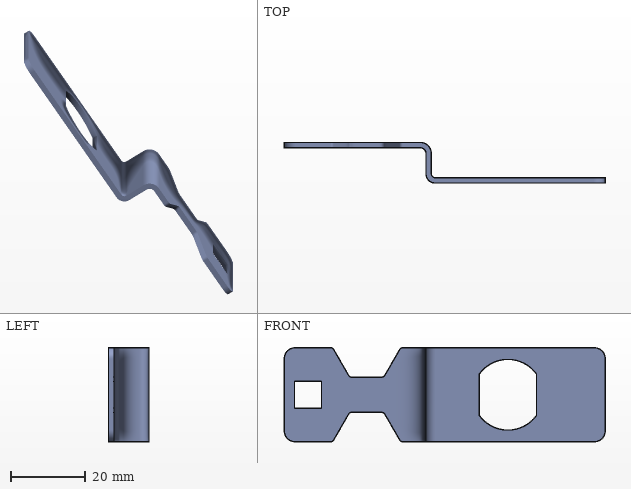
import cadquery as cq
import math

length = 86.57
offset_depth = 11.0
width = 25.4
thickness = 1.5
corner_radius = 3.0

web_start = 38.2
web_end = web_start + thickness
rear_inner_radius = 1.5
rear_outer_radius = rear_inner_radius + thickness
front_inner_radius = 1.0
front_outer_radius = front_inner_radius + thickness

neck_center = 22.25
neck_length = 9.15
neck_width = 9.5
notch_corner_radius = 1.0
notch_wall_angle = 60.0
notch_depth = (width - neck_width) / 2
notch_run = notch_depth / math.tan(math.radians(notch_wall_angle))

square_side = 7.2
square_center = 6.4

hole_diameter = 19.0
hole_flat_width = 15.4
hole_center = 60.3


def bent_strip():
    """Constant-thickness Z-bent strip, extruded over the full width."""
    front_inner_y = thickness
    rear_inner_y = offset_depth - thickness
    outline = (
        cq.Workplane("XY", origin=(0, 0, -width / 2))
        .moveTo(0, offset_depth)
        .lineTo(web_end - rear_outer_radius, offset_depth)
        .radiusArc((web_end, offset_depth - rear_outer_radius), rear_outer_radius)
        .lineTo(web_end, front_inner_y + front_inner_radius)
        .radiusArc((web_end + front_inner_radius, front_inner_y), -front_inner_radius)
        .lineTo(length, front_inner_y)
        .lineTo(length, 0)
        .lineTo(web_start + front_outer_radius, 0)
        .radiusArc((web_start, front_outer_radius), front_outer_radius)
        .lineTo(web_start, rear_inner_y - rear_inner_radius)
        .radiusArc((web_start - rear_inner_radius, rear_inner_y), -rear_inner_radius)
        .lineTo(0, rear_inner_y)
        .close()
    )
    return outline.extrude(width)


def face_plane():
    """XZ workplane on the front face; cutters extrude through along +Y."""
    return cq.Workplane("XZ")


def through_cutter(sketch):
    """Extrude a closed XZ outline through the whole depth of the part."""
    return sketch.extrude(-offset_depth)


def rounded_ends(strip):
    """Round the two corners at each end of the strap."""
    blank = face_plane().center(length / 2, 0).rect(length, width)
    return strip.intersect(through_cutter(blank).edges("|Y").fillet(corner_radius))


def neck_notch(side):
    """Tapered notch on the long edge at Z = side * width / 2."""
    half_floor = neck_length / 2
    half_mouth = half_floor + notch_run
    outline = face_plane().polyline([
        (neck_center - half_mouth, side * width / 2),
        (neck_center - half_floor, side * neck_width / 2),
        (neck_center + half_floor, side * neck_width / 2),
        (neck_center + half_mouth, side * width / 2),
    ]).close()
    return through_cutter(outline)


def round_notch_corners(strap):
    """Fillet the floor and mouth corners of both notches."""
    edge_margin = 0.1
    half_window = neck_length / 2 + notch_run + edge_margin
    window = cq.selectors.BoxSelector(
        (neck_center - half_window, 0, -width),
        (neck_center + half_window, offset_depth, width),
    )
    return strap.edges("|Y").edges(window).fillet(notch_corner_radius)


def square_hole():
    """Square through hole in the rear leaf."""
    return through_cutter(face_plane().center(square_center, 0).rect(square_side, square_side))


def flatted_hole():
    """Round hole narrowed along X by two parallel flats."""
    start = face_plane().center(hole_center, 0)
    round_hole = through_cutter(start.circle(hole_diameter / 2))
    flats = through_cutter(start.rect(hole_flat_width, hole_diameter))
    return round_hole.intersect(flats)


result = rounded_ends(bent_strip())
for edge_side in (-1, 1):
    result = result.cut(neck_notch(edge_side))
result = round_notch_corners(result)
result = result.cut(square_hole()).cut(flatted_hole())